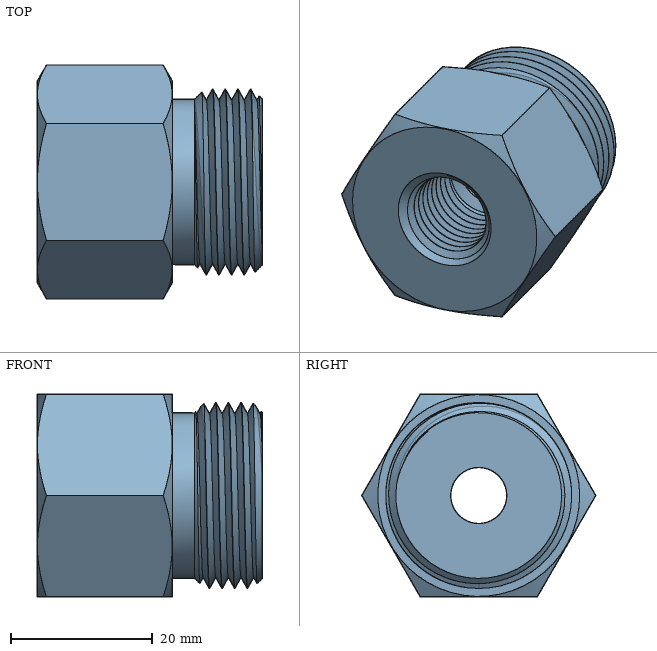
import cadquery as cq
import math

total_length = 31.75
hex_across_corners = 33
hex_length = 19.07
hex_chamfer_angle = 30
hex_face_radius = 14.22

neck_radius = 11.68
neck_length = 3.15
outer_crest_radius = 13.1
outer_root_radius = 11.55
outer_pitch = 1.78
outer_groove_start = 19.83
outer_groove_turns = 8
outer_end_chamfer = outer_crest_radius - neck_radius

bore_radius = 3.93
inner_crest_radius = 5.7
inner_root_radius = 6.85
inner_pitch = 1.42
thread_taper = 1 / 32
tapped_depth = 13.85
inner_groove_start = 13.07
inner_groove_turns = 10
entry_radius = 7.15
drill_point_angle = 118

groove_width_ratio = 0.98
groove_overshoot = 0.03

thread_start = hex_length + neck_length


def revolve_about_x(profile):
    """Solid of revolution from (x, radius) points."""
    return cq.Workplane("XY").polyline(profile).close().revolve(360, (0, 0, 0), (1, 0, 0))


def helix_turn(pitch, radius, offset, taper):
    """One right-hand turn along Z from the given offset, widening by the taper per unit of advance."""
    if taper == 0:
        return cq.Wire.makeHelix(pitch, pitch, radius, cq.Vector(0, 0, offset)).Edges()[0]
    half_angle = math.atan(taper)
    slant_pitch = pitch / math.cos(half_angle)
    turn = cq.Wire.makeHelix(
        slant_pitch, slant_pitch, radius, cq.Vector(0, 0, offset), angle=math.degrees(half_angle)
    )
    return turn.Edges()[0]


def end_cap(edges, position):
    """Flat face joining the points at one end (0 or 1) of the groove edges."""
    corners = [edge.positionAt(position) for edge in edges]
    return cq.Face.makeFromWires(cq.Wire.makePolygon(corners, close=True))


def helical_groove(start, direction, turns, pitch, crest_radius, root_radius, taper=0):
    """Right-hand V groove running from X = start towards +X (direction 1) or -X (direction -1)."""
    half_width = pitch * groove_width_ratio / 2
    mouth_radius = crest_radius + math.copysign(groove_overshoot, crest_radius - root_radius)
    section = [(mouth_radius, -half_width), (root_radius, 0), (mouth_radius, half_width)]
    faces = []
    for turn in range(turns):
        advance = turn * pitch
        edges = [
            helix_turn(pitch, radius + advance * taper, offset + advance, taper)
            for radius, offset in section
        ]
        faces += [cq.Face.makeRuledSurface(edges[i - 1], edges[i]) for i in range(len(edges))]
        if turn == 0:
            faces.append(end_cap(edges, 0))
    faces.append(end_cap(edges, 1))
    cutter = cq.Workplane(obj=cq.Solid.makeSolid(cq.Shell.makeShell(faces)))
    return cutter.rotate((0, 0, 0), (0, 1, 0), direction * 90).translate((start, 0, 0))


def hexagon_head():
    head = cq.Workplane("YZ").polygon(6, hex_across_corners).extrude(hex_length)
    corner_radius = hex_across_corners / 2
    chamfer = (corner_radius - hex_face_radius) * math.tan(math.radians(hex_chamfer_angle))
    envelope = revolve_about_x([
        (0, 0),
        (0, hex_face_radius),
        (chamfer, corner_radius),
        (hex_length - chamfer, corner_radius),
        (hex_length, hex_face_radius),
        (hex_length, 0),
    ])
    return head.intersect(envelope)


def threaded_spigot():
    spigot = revolve_about_x([
        (thread_start, 0),
        (thread_start, neck_radius),
        (thread_start + outer_end_chamfer, outer_crest_radius),
        (total_length - outer_end_chamfer, outer_crest_radius),
        (total_length, neck_radius),
        (total_length, 0),
    ])
    groove = helical_groove(
        outer_groove_start, 1, outer_groove_turns, outer_pitch, outer_crest_radius, outer_root_radius
    )
    return spigot.cut(groove)


def neck():
    return cq.Workplane("YZ").workplane(offset=hex_length).circle(neck_radius).extrude(neck_length)


def tap_drill():
    """Tapered hole with a 45 degree entry countersink and a conical drill point."""
    countersink_depth = (entry_radius - inner_crest_radius) / (1 - thread_taper)
    countersink_radius = entry_radius - countersink_depth
    bottom_radius = inner_crest_radius - tapped_depth * thread_taper
    point_length = bottom_radius / math.tan(math.radians(drill_point_angle / 2))
    return revolve_about_x([
        (0, 0),
        (0, entry_radius),
        (countersink_depth, countersink_radius),
        (tapped_depth, bottom_radius),
        (tapped_depth + point_length, 0),
    ])


def through_bore():
    return cq.Workplane("YZ").circle(bore_radius).extrude(total_length)


body = hexagon_head().union(neck()).union(threaded_spigot())
inner_thread_shrink = inner_groove_start * thread_taper
inner_groove = helical_groove(
    inner_groove_start,
    -1,
    inner_groove_turns,
    inner_pitch,
    inner_crest_radius - inner_thread_shrink,
    inner_root_radius - inner_thread_shrink,
    thread_taper,
)
result = body.cut(tap_drill()).cut(through_bore()).cut(inner_groove)